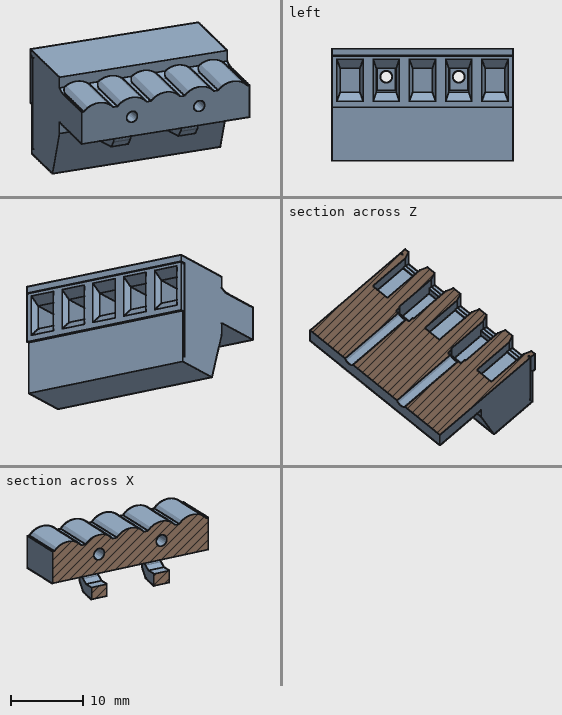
import cadquery as cq
import math

width = 25.0
height = 15.5
length = 18.85
pole_count = 5
pole_pitch = width / pole_count
pole_centers = [pole_pitch * (i + 0.5) for i in range(pole_count)]
open_poles = (1, 3)

body_length = 10.68
body_foot = 8.12
slope_top = 7.05
face_setback = 0.42
setback_top = 7.42

cover_depth = 0.95
cover_bottom = 0.85
cover_top = 14.55
seam_width = 0.1
seam_depth = 0.38

barrel_radius = 2.9
barrel_axis_z = 11.6
barrel_side_gap = 0.312
plug_bottom = 8.72
land_z = 13.5
ramp_length = 1.5
ramp_height = 0.4

entry_width = 3.6
entry_bottom = 8.25
entry_height = 5.75
entry_side_inset = 0.42
entry_height_inset = 1.2
funnel_depth = 1.1
throat_end = 1.58
chamber_end = 7.5
closed_chamber_drop = 0.12
open_chamber_drop = 1.18
seat_width = 2.42
seat_rise = 0.3
seat_depth = 0.75
bore_diameter = 1.6

throat_width = entry_width - 2 * entry_side_inset
throat_bottom = entry_bottom + entry_height_inset
throat_height = entry_height - 2 * entry_height_inset
throat_top = throat_bottom + throat_height

latch_width = 2.5
latch_root_bottom = (9.82, 4.68)
latch_heel = (14.3, 5.5)
latch_bend = (13.48, 6.92)
latch_tip_top = (14.35, 7.48)
latch_tip_middle = (15.18, 7.3)
latch_tip_low = (15.12, 6.58)
latch_root_x = 9.5


def box(x_range, y_range, z_range):
    """Box between the given limits on each axis."""
    spans = (x_range, y_range, z_range)
    sizes = [high - low for low, high in spans]
    corner = [low for low, _ in spans]
    return cq.Workplane("XY").box(*sizes, centered=False).translate(tuple(corner))


def pole_box(center, box_width, x_range, z_range):
    """Box centred on one pole in Y."""
    return box(x_range, (center - box_width / 2, center + box_width / 2), z_range)


def make_housing():
    outline = [
        (0, height),
        (body_length, height),
        (body_length, slope_top),
        (body_foot, 0),
        (face_setback, 0),
        (face_setback, setback_top),
        (0, setback_top),
    ]
    return cq.Workplane("XZ").polyline(outline).close().extrude(-width)


def make_plug():
    """Slab with ramped lands, topped by the row of barrels."""
    ramp_end = body_length + ramp_length
    ramp_radius = (ramp_length**2 + ramp_height**2) / (2 * ramp_height)
    half_angle = math.asin(ramp_length / ramp_radius) / 2
    ramp_middle = (
        ramp_end - ramp_radius * math.sin(half_angle),
        land_z + ramp_radius * (1 - math.cos(half_angle)),
    )
    plug = (
        cq.Workplane("XZ")
        .moveTo(body_length, plug_bottom)
        .lineTo(length, plug_bottom)
        .lineTo(length, land_z)
        .lineTo(ramp_end, land_z)
        .threePointArc(ramp_middle, (body_length, land_z + ramp_height))
        .close()
        .extrude(-width)
    )
    half_chord = pole_pitch / 2 - barrel_side_gap
    chord_z = barrel_axis_z + math.sqrt(barrel_radius**2 - half_chord**2)
    for center in pole_centers:
        barrel = (
            cq.Workplane("YZ", origin=(body_length, center, 0))
            .moveTo(-half_chord, barrel_axis_z)
            .lineTo(-half_chord, chord_z)
            .threePointArc((0, barrel_axis_z + barrel_radius), (half_chord, chord_z))
            .lineTo(half_chord, barrel_axis_z)
            .close()
            .extrude(length - body_length)
        )
        plug = plug.union(barrel)
    return plug


def make_latch(center):
    return (
        cq.Workplane("XZ", origin=(0, center - latch_width / 2, 0))
        .moveTo(latch_root_x, latch_root_bottom[1])
        .lineTo(*latch_root_bottom)
        .lineTo(*latch_heel)
        .lineTo(*latch_tip_low)
        .threePointArc(latch_tip_middle, latch_tip_top)
        .lineTo(*latch_bend)
        .lineTo(latch_root_x, latch_bend[1])
        .close()
        .extrude(-latch_width)
    )


def make_seam():
    """Thin gap over the cover plate and behind its two ends."""
    seam = box((0, cover_depth), (0, width), (cover_top - seam_width, cover_top))
    behind = (cover_depth - seam_width, cover_depth)
    for y_range in ((0, seam_depth), (width - seam_depth, width)):
        seam = seam.union(box(behind, y_range, (cover_bottom, cover_top)))
    return seam


def make_entry(center, is_open):
    """Tapered wire entry, its chamber and, for an open pole, the seat and bore."""
    funnel = (
        cq.Workplane("YZ", origin=(0, center, entry_bottom + entry_height / 2))
        .rect(entry_width, entry_height)
        .workplane(offset=funnel_depth)
        .rect(throat_width, throat_height)
        .loft(ruled=True)
    )
    throat = pole_box(center, throat_width, (funnel_depth, throat_end), (throat_bottom, throat_top))
    chamber_bottom = throat_bottom - (open_chamber_drop if is_open else closed_chamber_drop)
    chamber = pole_box(center, throat_width, (throat_end, chamber_end), (chamber_bottom, throat_top))
    entry = funnel.union(throat).union(chamber)
    if is_open:
        seat_x = (chamber_end, chamber_end + seat_depth)
        entry = entry.union(pole_box(center, seat_width, seat_x, (throat_bottom + seat_rise, throat_top)))
        bore = (
            cq.Workplane("YZ", origin=(chamber_end, center, barrel_axis_z))
            .circle(bore_diameter / 2)
            .extrude(length - chamber_end)
        )
        entry = entry.union(bore)
    return entry


result = make_housing().union(make_plug())
for pole in open_poles:
    result = result.union(make_latch(pole_centers[pole]))
result = result.cut(make_seam())
for pole, pole_center in enumerate(pole_centers):
    result = result.cut(make_entry(pole_center, pole in open_poles))